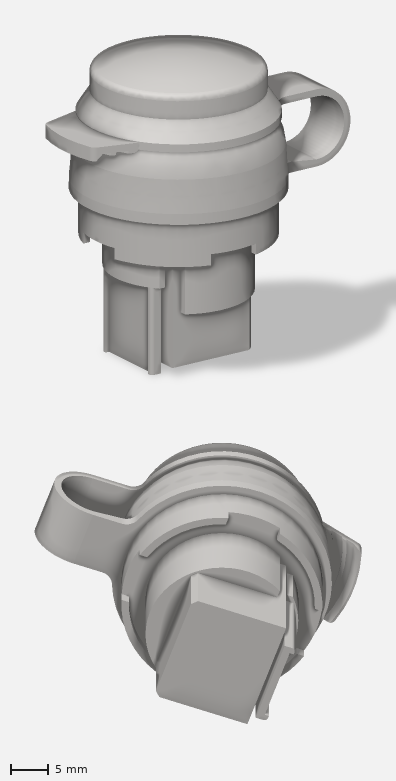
import cadquery as cq
import math


cap_radius = 11.95
cap_apex_z = 19.45
cap_edge_z = 17.35
cap_rim_fillet = 0.95
cap_base_z = 14.05
lid_radius = 13.85
lid_top_z = 11.15
lid_bottom_z = 10.03

flange_radius = 29.5 / 2
flange_height = 1.55
shoulder_radius = 14.43
shoulder_z = 6.35
body_arc_radius = 14.07
body_arc_z = 8.22
body_top_radius = 13.2

skirt_radius = 26.95 / 2
skirt_wall = 1.0
skirt_bottom_z = -6.5
notch_roof_z = -4.93
notch_width = 7.3

strap_half_width = 3.95
strap_thickness = 1.0
strap_top_z = lid_bottom_z + strap_thickness
strap_end_y = 25.25
strap_root_fillet = 2.0

tab_radius = 18.75
tab_root_y = -11.55
tab_root_half_width = 7.5
tab_tip_half_width = 5.55
tab_corner_fillet = 1.0
tab_inner_radius = body_top_radius
grip_z = 9.65
lip_bottom_z = 9.05
inner_grip_start = 14.2
inner_grip_end = 14.85
outer_grip_start = 16.2
outer_grip_end = 16.7
lip_slope_start = 17.65
lip_slope_end = 18.43

socket_radius = 10.25
collar_front_y = -5.1
collar_bottom_z = -14.45
box_half_width = 15.6 / 2
box_front_y = -6.38
box_back_y = 6.9
box_bottom_z = -22.2
box_chamfer = 0.75
segment_half_width = 6.75
segment_back_y = -6.85
segment_bottom_z = -10.9
tongue_half_width = 5.85
tongue_plate_y = -7.87
tongue_front_y = -8.45
tongue_rib_width = 0.85
tongue_corner_radius = 0.53
tongue_bottom_z = -23.45


def block(x_range, y_range, z_range):
    """Box between the given pairs of limits."""
    size = [high - low for low, high in (x_range, y_range, z_range)]
    corner = (x_range[0], y_range[0], z_range[0])
    return cq.Workplane("XY").box(*size, centered=False).translate(corner)


def make_cap_and_body():
    """Turned upper part: domed cap, conical lid, rounded body and flange."""
    rise = cap_apex_z - cap_edge_z
    dome_radius = (cap_radius**2 + rise**2) / (2 * rise)
    dome_mid_r = cap_radius / 2
    dome_mid_z = cap_apex_z - dome_radius + math.sqrt(dome_radius**2 - dome_mid_r**2)
    turned = (
        cq.Workplane("XZ")
        .lineTo(flange_radius, 0)
        .lineTo(flange_radius, flange_height)
        .lineTo(shoulder_radius, shoulder_z)
        .threePointArc((body_arc_radius, body_arc_z), (body_top_radius, lid_bottom_z))
        .lineTo(lid_radius, lid_bottom_z)
        .lineTo(lid_radius, lid_top_z)
        .lineTo(cap_radius, cap_base_z)
        .lineTo(cap_radius, cap_edge_z)
        .threePointArc((dome_mid_r, dome_mid_z), (0, cap_apex_z))
        .close()
        .revolve(360, (0, 0), (0, 1))
    )
    rim = cq.selectors.NearestToPointSelector((0, -cap_radius, cap_edge_z))
    return turned.edges(rim).fillet(cap_rim_fillet)


def make_skirt():
    """Skirt with a recessed underside and four notches around its lower edge."""
    skirt = cq.Workplane("XY").circle(skirt_radius).extrude(skirt_bottom_z)
    recess = (
        cq.Workplane("XY", origin=(0, 0, skirt_bottom_z))
        .circle(skirt_radius - skirt_wall)
        .extrude(notch_roof_z - skirt_bottom_z)
    )
    skirt = skirt.cut(recess)
    notch_half = notch_width / 2
    across = (-skirt_radius, skirt_radius)
    opening = (-notch_half, notch_half)
    notch_heights = (skirt_bottom_z, notch_roof_z)
    skirt = skirt.cut(block(across, opening, notch_heights))
    return skirt.cut(block(opening, across, notch_heights))


def strap_root_y(ring_radius):
    """Y where the root fillet on a ring of this radius meets the strap side."""
    return math.sqrt((ring_radius + strap_root_fillet) ** 2 - (strap_half_width + strap_root_fillet) ** 2)


def make_strap_root(ring_radius, bottom_z, thickness):
    """Web that blends the strap into a ring with a fillet on both sides."""
    centre_x = strap_half_width + strap_root_fillet
    centre_y = strap_root_y(ring_radius)
    ratio = ring_radius / (ring_radius + strap_root_fillet)
    ring_x = centre_x * ratio
    ring_y = centre_y * ratio
    mid_angle = (math.pi + math.atan2(-centre_y, -centre_x) % (2 * math.pi)) / 2
    mid_x = centre_x + strap_root_fillet * math.cos(mid_angle)
    mid_y = centre_y + strap_root_fillet * math.sin(mid_angle)
    return (
        cq.Workplane("XY", origin=(0, 0, bottom_z))
        .moveTo(-strap_half_width, centre_y)
        .lineTo(strap_half_width, centre_y)
        .threePointArc((mid_x, mid_y), (ring_x, ring_y))
        .lineTo(-ring_x, ring_y)
        .threePointArc((-mid_x, mid_y), (-strap_half_width, centre_y))
        .close()
        .extrude(thickness)
    )


def make_strap():
    """Looped strap from the lid round to the flange, with both roots."""
    bend_radius = strap_top_z / 2
    bend_y = strap_end_y - bend_radius
    lid_root_y = strap_root_y(lid_radius)
    flange_root_y = strap_root_y(flange_radius)
    loop = (
        cq.Workplane("YZ")
        .moveTo(lid_root_y, strap_top_z)
        .lineTo(bend_y, strap_top_z)
        .threePointArc((strap_end_y, bend_radius), (bend_y, 0))
        .lineTo(flange_root_y, 0)
        .lineTo(flange_root_y, flange_height)
        .lineTo(bend_y, strap_thickness)
        .threePointArc((strap_end_y - strap_thickness, bend_radius), (bend_y, lid_bottom_z))
        .lineTo(lid_root_y, lid_bottom_z)
        .close()
        .extrude(strap_half_width, both=True)
    )
    lid_root = make_strap_root(lid_radius, lid_bottom_z, strap_thickness)
    flange_root = make_strap_root(flange_radius, 0, flange_height)
    return loop.union(lid_root).union(flange_root)


def make_tab():
    """Tapered finger tab with curved grip ribs and a lip underneath."""
    turned = (
        cq.Workplane("XZ")
        .moveTo(tab_inner_radius, strap_top_z)
        .lineTo(tab_radius, strap_top_z)
        .lineTo(tab_radius, lip_bottom_z)
        .lineTo(lip_slope_end, lip_bottom_z)
        .lineTo(lip_slope_start, lid_bottom_z)
        .lineTo(outer_grip_end, lid_bottom_z)
        .lineTo(outer_grip_end, grip_z)
        .lineTo(outer_grip_start, grip_z)
        .lineTo(outer_grip_start, lid_bottom_z)
        .lineTo(inner_grip_end, lid_bottom_z)
        .lineTo(inner_grip_end, grip_z)
        .lineTo(inner_grip_start, grip_z)
        .lineTo(lid_radius, lid_bottom_z)
        .lineTo(tab_inner_radius, lid_bottom_z)
        .close()
        .revolve(360, (0, 0), (0, 1))
    )
    taper = (tab_root_half_width - tab_tip_half_width) / (tab_root_y + tab_radius)
    axis_half_width = tab_tip_half_width + taper * tab_radius
    outline = (
        cq.Workplane("XY", origin=(0, 0, lip_bottom_z))
        .moveTo(-axis_half_width, 0)
        .lineTo(-tab_tip_half_width, -tab_radius)
        .lineTo(tab_tip_half_width, -tab_radius)
        .lineTo(axis_half_width, 0)
        .close()
        .extrude(strap_top_z - lip_bottom_z)
    )
    tab = turned.intersect(outline)
    tip = cq.selectors.BoxSelector(
        (-tab_root_half_width, -tab_radius, lip_bottom_z),
        (tab_root_half_width, -lip_slope_start, strap_top_z),
    )
    return tab.edges("|Z").edges(tip).fillet(tab_corner_fillet)


def make_socket_disc(bottom_z):
    """Round core of the connector from the skirt recess down to a height."""
    depth = notch_roof_z - bottom_z
    return cq.Workplane("XY", origin=(0, 0, bottom_z)).circle(socket_radius).extrude(depth)


def make_collar():
    """Collar around the connector, cut flat towards the front."""
    across = (-socket_radius, socket_radius)
    keep = block(across, (collar_front_y, socket_radius), (collar_bottom_z, notch_roof_z))
    return make_socket_disc(collar_bottom_z).intersect(keep)


def make_connector_box():
    """Rectangular connector housing with bevelled back corners."""
    across = (-box_half_width, box_half_width)
    housing = block(across, (box_front_y, box_back_y), (box_bottom_z, notch_roof_z))
    return housing.edges("|Z and >Y").chamfer(box_chamfer)


def make_front_segment():
    """Round-fronted segment that carries the tongue."""
    across = (-segment_half_width, segment_half_width)
    keep = block(across, (-socket_radius, segment_back_y), (segment_bottom_z, notch_roof_z))
    return make_socket_disc(segment_bottom_z).intersect(keep)


def make_tongue():
    """Channel-shaped tongue with a rounded rib along each side."""
    heights = (tongue_bottom_z, notch_roof_z)
    across = (-tongue_half_width, tongue_half_width)
    tongue = block(across, (tongue_front_y, segment_back_y), heights)
    tongue = tongue.edges("|Z and <Y").fillet(tongue_corner_radius)
    channel_half = tongue_half_width - tongue_rib_width
    channel = block((-channel_half, channel_half), (tongue_front_y, tongue_plate_y), heights)
    return tongue.cut(channel)


result = (
    make_cap_and_body()
    .union(make_skirt())
    .union(make_strap())
    .union(make_tab())
    .union(make_collar())
    .union(make_connector_box())
    .union(make_front_segment())
    .union(make_tongue())
)